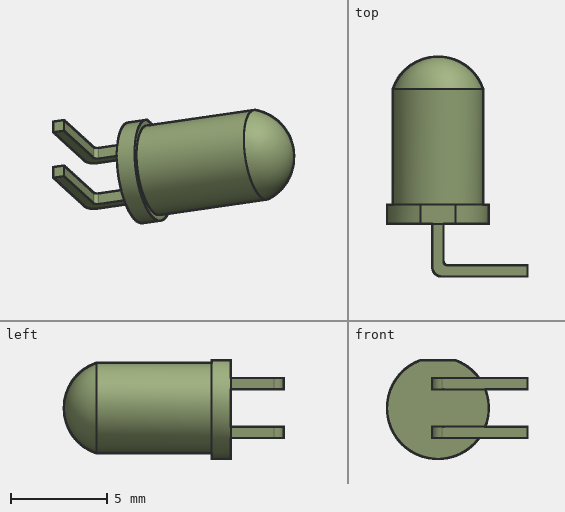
import cadquery as cq
import math

FLANGE_RADIUS = 2.655
FLANGE_LENGTH = 1.0
FLAT_HEIGHT = 2.495

LENS_RADIUS = 2.36
LENS_LENGTH = 6.0
DOME_HEIGHT = 1.7

LEAD_WIDTH = 0.6
LEAD_PITCH = 2.54
LEAD_DEPTH = 2.75
LEAD_REACH = 4.665
BEND_OUTER_RADIUS = 0.5
BEND_INNER_RADIUS = 0.2

DOME_RADIUS = (LENS_RADIUS**2 + DOME_HEIGHT**2) / (2 * DOME_HEIGHT)
DOME_BASE = FLANGE_LENGTH + LENS_LENGTH
DOME_TIP = DOME_BASE + DOME_HEIGHT


def make_flange():
    """Disc along +Y, cut by a flat parallel to the XY plane."""
    half_flat = math.sqrt(FLANGE_RADIUS**2 - FLAT_HEIGHT**2)
    return (
        cq.Workplane("XZ")
        .moveTo(half_flat, FLAT_HEIGHT)
        .threePointArc((0, -FLANGE_RADIUS), (-half_flat, FLAT_HEIGHT))
        .close()
        .extrude(-FLANGE_LENGTH)
    )


def make_lens():
    """Half outline of the lens, revolved about the Y axis."""
    dome_center = DOME_TIP - DOME_RADIUS
    mid_angle = math.asin(LENS_RADIUS / DOME_RADIUS) / 2
    dome_middle = (
        DOME_RADIUS * math.sin(mid_angle),
        dome_center + DOME_RADIUS * math.cos(mid_angle),
    )
    return (
        cq.Workplane("XY")
        .lineTo(LENS_RADIUS, 0)
        .lineTo(LENS_RADIUS, DOME_BASE)
        .threePointArc(dome_middle, (0, DOME_TIP))
        .close()
        .revolve(360, (0, 0), (0, 1))
    )


def make_lead(center_z):
    """L-shaped square wire with a rounded bend, centred on the given height."""
    half_width = LEAD_WIDTH / 2
    inner_y = LEAD_WIDTH - LEAD_DEPTH
    wire = (
        cq.Workplane("XY", origin=(0, 0, center_z - half_width))
        .moveTo(-half_width, 0)
        .lineTo(-half_width, -LEAD_DEPTH)
        .lineTo(LEAD_REACH, -LEAD_DEPTH)
        .lineTo(LEAD_REACH, inner_y)
        .lineTo(half_width, inner_y)
        .lineTo(half_width, 0)
        .close()
        .extrude(LEAD_WIDTH)
    )
    outer_corner = cq.selectors.NearestToPointSelector((-half_width, -LEAD_DEPTH, center_z))
    inner_corner = cq.selectors.NearestToPointSelector((half_width, inner_y, center_z))
    wire = wire.edges("|Z").edges(outer_corner).fillet(BEND_OUTER_RADIUS)
    return wire.edges("|Z").edges(inner_corner).fillet(BEND_INNER_RADIUS)


result = make_flange().union(make_lens())
for side in (-1, 1):
    result = result.union(make_lead(side * LEAD_PITCH / 2))